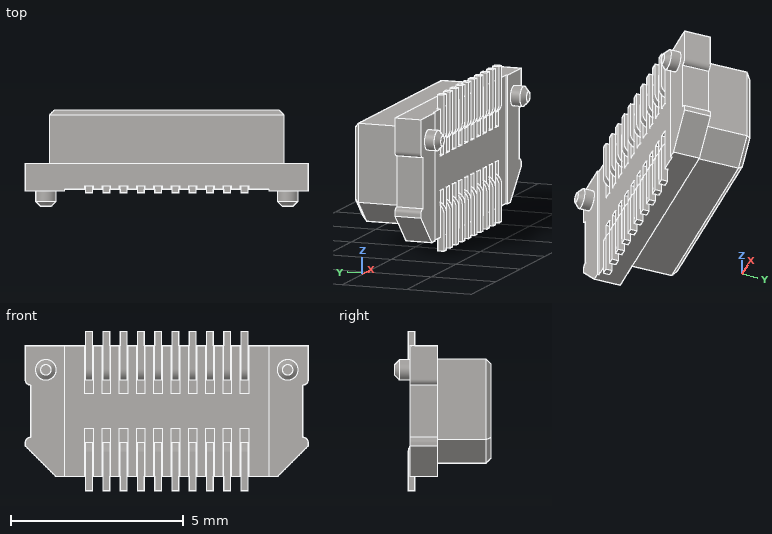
import cadquery as cq
import math


flange_length = 8.2
flange_height = 3.8
flange_depth = 0.8
corner_cut = 0.89
notch_depth = 0.155
notch_half_height = 0.755
recess_length = 5.92
recess_depth = 0.05

shell_length = 6.8
shell_height = 3.025
shell_depth = 1.55
shell_corner_cut = 0.69
rim_chamfer = 0.15

peg_diameter = 0.6
peg_reach = 0.44
peg_chamfer = 0.15
peg_x = 3.5
peg_z = 1.2

leads_per_row = 10
lead_pitch = 0.5
lead_width = 0.205
lead_thickness = 0.2
lead_span = 4.62
lead_bend_radius = 0.32
lead_bend_start = 1.2
slot_width = 0.255
slot_depth = 0.1
slot_inner_end = 0.51

half_length = flange_length / 2
half_height = flange_height / 2
flange_front = -flange_depth
recess_floor = flange_front + recess_depth
slot_floor = recess_floor + slot_depth
lead_front = slot_floor - lead_thickness


def block(x_min, x_max, y_min, y_max, z_min, z_max):
    """Axis-aligned box between the given limits."""
    size = (x_max - x_min, y_max - y_min, z_max - z_min)
    return cq.Workplane("XY").box(*size, centered=False).translate((x_min, y_min, z_min))


def make_flange():
    """Plate with cut lower corners, end notches with rounded lips and a front recess."""
    notch_x = half_length - notch_depth
    lip_z = notch_half_height + notch_depth
    arc_x = notch_x + notch_depth * math.sqrt(0.5)
    arc_z = lip_z - notch_depth * math.sqrt(0.5)
    half_outline = (
        cq.Workplane("XZ")
        .moveTo(0, half_height)
        .lineTo(half_length, half_height)
        .lineTo(half_length, lip_z)
        .threePointArc((arc_x, arc_z), (notch_x, notch_half_height))
        .lineTo(notch_x, -notch_half_height)
        .threePointArc((arc_x, -arc_z), (half_length, -lip_z))
        .lineTo(half_length, corner_cut - half_height)
        .lineTo(half_length - corner_cut, -half_height)
        .lineTo(0, -half_height)
        .close()
    )
    half_plate = half_outline.extrude(flange_depth)
    plate = half_plate.union(half_plate.mirror("YZ"))
    half_recess = recess_length / 2
    recess = block(-half_recess, half_recess, flange_front, recess_floor, -half_height, half_height)
    return plate.cut(recess)


def make_shell():
    """Mating block with two cut lower corners and a chamfered rim."""
    return (
        cq.Workplane("XY")
        .box(shell_length, shell_depth, shell_height)
        .translate((0, shell_depth / 2, 0))
        .edges("|Y and <Z")
        .chamfer(shell_corner_cut)
        .faces(">Y")
        .chamfer(rim_chamfer)
    )


def make_pegs():
    """Two round pegs with chamfered tips on the flange front face."""
    return (
        cq.Workplane("XZ", origin=(0, flange_front, 0))
        .pushPoints([(-peg_x, peg_z), (peg_x, peg_z)])
        .circle(peg_diameter / 2)
        .extrude(peg_reach)
        .faces("<Y")
        .chamfer(peg_chamfer)
    )


def make_slot(x):
    """Cutter for the upper-row slot at x, open at the flange edge."""
    half_width = slot_width / 2
    return block(x - half_width, x + half_width, flange_front, slot_floor, slot_inner_end, half_height)


def make_lead(x):
    """Upper-row lead at x: a straight tail whose inner end curves down to the slot floor."""
    bend_y = lead_front + lead_bend_radius

    def bend_z(y):
        return lead_bend_start - math.sqrt(lead_bend_radius**2 - (y - bend_y) ** 2)

    middle_y = (lead_front + slot_floor) / 2
    return (
        cq.Workplane("YZ", origin=(x - lead_width / 2, 0, 0))
        .moveTo(slot_floor, lead_span / 2)
        .lineTo(lead_front, lead_span / 2)
        .lineTo(lead_front, lead_bend_start)
        .threePointArc((middle_y, bend_z(middle_y)), (slot_floor, bend_z(slot_floor)))
        .close()
        .extrude(lead_width)
    )


result = make_flange().union(make_shell()).union(make_pegs())

for index in range(leads_per_row):
    lead_x = (index - (leads_per_row - 1) / 2) * lead_pitch
    slot = make_slot(lead_x)
    lead = make_lead(lead_x)
    result = result.cut(slot).cut(slot.mirror("XY"))
    result = result.union(lead).union(lead.mirror("XY"))